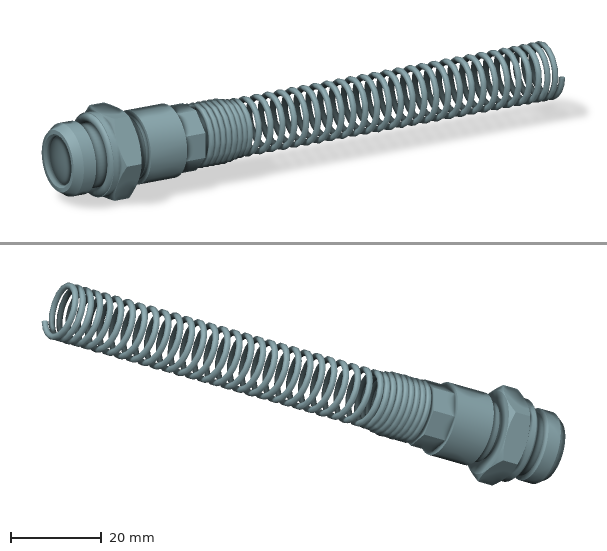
import cadquery as cq
import math


collar_dia = 16.5
mouth_face_dia = 13.9
mouth_chamfer = 1.9
collar_end = 5.0
groove_dia = 14.4
groove_start = 5.5
flange_front = 8.8
hex_front = 10.4
hex_back = 15.8
hex_sides = 6
hex_corners = 22.0
hex_flats = hex_corners * math.cos(math.pi / hex_sides)
flange_dia = 19.0
hex_chamfer = 0.9
neck_dia = 12.5
neck_end = 16.7
shoulder_dia = 13.9
body_end = 18.3
bore_dia = 11.0
bore_depth = 1.3
bore_rim_dia = 12.0

seal_wire_dia = 2.1
seal_center_y = 9.0

lip_dia = 14.4
lip_end = 19.0
sleeve_dia = 16.6
octagon_start = 28.1
octagon_end = 33.5
octagon_sides = 8
octagon_flats = 13.9
spigot_dia = 11.5
spigot_end = 41.4

overall_length = 125.5
wire_dia = 1.4
wide_coil_dia = 14.5
narrow_coil_dia = 13.3
close_pitch = 1.44
end_pitch = 1.6
close_turns = 7.75
opening_turns = 1
open_turns = 21
closing_turns = 6
wide_turns = 5
narrowing_turns = 2
start_angle = math.pi / 2
points_per_turn = 16
wire_clearance = 0.06
spring_start = octagon_end + wire_dia / 2 + wire_clearance
spring_end = overall_length - wire_dia / 2
total_turns = close_turns + opening_turns + open_turns + closing_turns
open_pitch = (
    spring_end - spring_start
    - close_turns * close_pitch
    - opening_turns * close_pitch / 2
    - closing_turns * end_pitch / 2
) / (open_turns + opening_turns / 2 + closing_turns / 2)


def revolved(points):
    """Turn an outline of (radius, Y) points about the Y axis."""
    return cq.Workplane("XY").polyline(points).close().revolve(360, (0, 0, 0), (0, 1, 0))


def cylinder(diameter, start, end):
    return revolved([(0, start), (diameter / 2, start), (diameter / 2, end), (0, end)])


def prism(sides, flats, start, end, turn=0):
    """Regular prism along Y; a corner points to +X when turn is 0 degrees."""
    corner_dia = flats / math.cos(math.pi / sides)
    bar = cq.Workplane("XZ", origin=(0, start, 0)).polygon(sides, corner_dia).extrude(start - end)
    return bar.rotate((0, 0, 0), (0, 1, 0), turn)


def make_hexagon():
    """Hexagon with both ends turned down to a cone at its corners."""
    face_radius = flange_dia / 2
    corner_radius = hex_corners / 2
    envelope = revolved([
        (0, hex_front),
        (face_radius, hex_front),
        (corner_radius, hex_front + hex_chamfer),
        (corner_radius, hex_back - hex_chamfer),
        (face_radius, hex_back),
        (0, hex_back),
    ])
    return prism(hex_sides, hex_flats, hex_front, hex_back).intersect(envelope)


def make_seal():
    center_radius = (groove_dia + seal_wire_dia) / 2
    section = cq.Workplane("XY").center(center_radius, seal_center_y).circle(seal_wire_dia / 2)
    return section.revolve(360, (-center_radius, 0, 0), (-center_radius, 1, 0))


def make_fitting(seal):
    front = revolved([
        (0, 0),
        (mouth_face_dia / 2, 0),
        (collar_dia / 2, mouth_chamfer),
        (collar_dia / 2, collar_end),
        (groove_dia / 2, groove_start),
        (groove_dia / 2, flange_front),
        (flange_dia / 2, flange_front),
        (flange_dia / 2, hex_front),
        (0, hex_front),
    ])
    neck = cylinder(neck_dia, hex_back, neck_end)
    shoulder = cylinder(shoulder_dia, neck_end, body_end)
    fitting = front.union(make_hexagon()).union(neck).union(shoulder)
    rim_depth = (bore_rim_dia - bore_dia) / 2
    bore = revolved([
        (0, 0),
        (bore_rim_dia / 2, 0),
        (bore_dia / 2, rim_depth),
        (bore_dia / 2, bore_depth),
        (0, bore_depth),
    ])
    return fitting.cut(bore).cut(seal)


def make_cap():
    lip = cylinder(lip_dia, body_end, lip_end)
    sleeve = cylinder(sleeve_dia, lip_end, octagon_start)
    octagon = prism(octagon_sides, octagon_flats, octagon_start, octagon_end, 180 / octagon_sides)
    spigot = cylinder(spigot_dia, octagon_end, spigot_end)
    return lip.union(sleeve).union(octagon).union(spigot)


def coil_height(turns):
    """Y of the wire centre after a number of turns, from the pitch of each stage."""
    stages = [
        (close_turns, close_pitch, close_pitch),
        (opening_turns, close_pitch, open_pitch),
        (open_turns, open_pitch, open_pitch),
        (closing_turns, open_pitch, end_pitch),
    ]
    height = spring_start
    for length, first_pitch, last_pitch in stages:
        done = min(turns, length)
        height += first_pitch * done + (last_pitch - first_pitch) * done ** 2 / (2 * length)
        turns -= done
    return height


def coil_radius(turns):
    """Radius of the wire centre: wide on the spigot, then easing to narrow."""
    narrowed = min(max((turns - wide_turns) / narrowing_turns, 0), 1)
    outer_dia = wide_coil_dia + (narrow_coil_dia - wide_coil_dia) * narrowed
    return (outer_dia - wire_dia) / 2


def coil_point(turns):
    angle = start_angle + 2 * math.pi * turns
    radius = coil_radius(turns)
    return cq.Vector(radius * math.cos(angle), coil_height(turns), radius * math.sin(angle))


def make_spring():
    steps = round(total_turns * points_per_turn)
    points = [coil_point(total_turns * step / steps) for step in range(steps + 1)]
    centerline = cq.Edge.makeSpline(points)
    start_plane = cq.Plane(origin=centerline.startPoint(), normal=centerline.tangentAt(0))
    path = cq.Workplane("XY").newObject([cq.Wire.assembleEdges([centerline])])
    return cq.Workplane(start_plane).circle(wire_dia / 2).sweep(path, isFrenet=True)


seal = make_seal()
fitting = make_fitting(seal)
cap = make_cap()
spring = make_spring()

result = cq.Compound.makeCompound([fitting.val(), seal.val(), cap.val(), spring.val()])